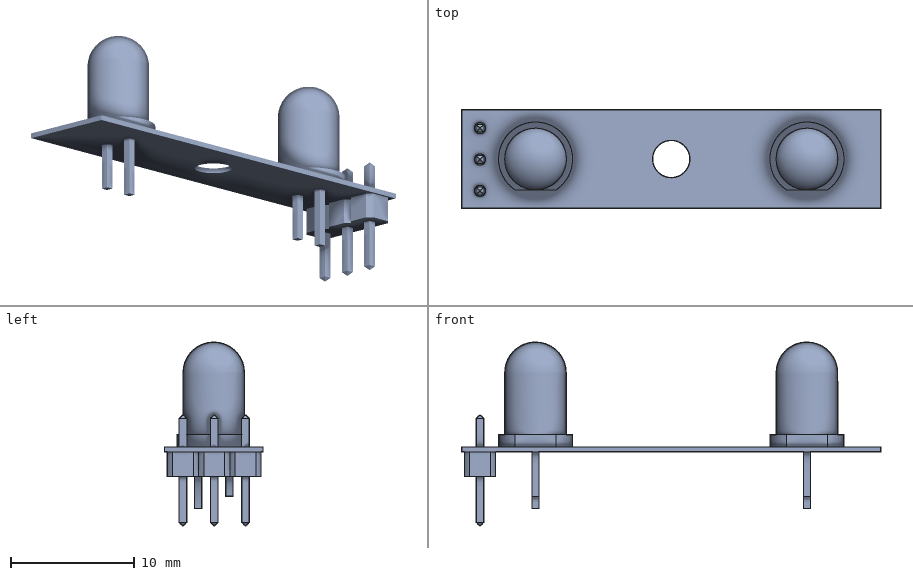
import cadquery as cq

BOARD_LENGTH = 34.0
BOARD_WIDTH = 8.0
BOARD_THICKNESS = 0.4
MOUNTING_HOLE_DIAMETER = 3.0
WIRE_HOLE_DIAMETER = 0.9

PIN_COUNT = 3
PITCH = 2.54
PIN_SIZE = 0.635
PIN_TIP_CHAMFER = 0.3
PIN_TOP = 2.6
PIN_BOTTOM = -6.41
BLOCK_SIZE = PITCH
BLOCK_HEIGHT = 2.0
BLOCK_CHAMFER = PITCH / 6
PIN_EDGE_DISTANCE = 1.5
FIRST_PIN_X = PIN_EDGE_DISTANCE - BOARD_LENGTH / 2
FIRST_PIN_Y = BOARD_WIDTH / 2 - PIN_EDGE_DISTANCE

LED_SPACING = 22.0
LED_DIAMETER = 5.0
LED_RADIUS = LED_DIAMETER / 2
LED_FLANGE_DIAMETER = 6.0
LED_FLANGE_HEIGHT = 1.0
LED_BARREL_HEIGHT = 5.0
LED_FLAT_DISTANCE = LED_RADIUS
LEAD_SPACING = 2.54
LEAD_SIZE = 0.6
LONG_LEAD = 5.0
SHORT_LEAD = 4.0
LEADS = [(LEAD_SPACING / 2, LONG_LEAD), (-LEAD_SPACING / 2, SHORT_LEAD)]

pin_points = [(FIRST_PIN_X, FIRST_PIN_Y - i * PITCH) for i in range(PIN_COUNT)]
led_centers = [-LED_SPACING / 2, LED_SPACING / 2]
lead_points = [(x, y) for x in led_centers for y, _ in LEADS]


def make_board():
    """Thin plate with the mounting hole and the holes for pins and leads."""
    plate = cq.Workplane("XY").box(
        BOARD_LENGTH, BOARD_WIDTH, BOARD_THICKNESS, centered=(True, True, False)
    )
    plate = plate.translate((0, 0, -BOARD_THICKNESS))
    top = plate.faces(">Z").workplane(origin=(0, 0, 0))
    plate = top.hole(MOUNTING_HOLE_DIAMETER)
    return plate.pushPoints(pin_points + lead_points).hole(WIRE_HOLE_DIAMETER)


def make_header_unit(x, y):
    """One position of the header: an eight-sided block with a pin through it."""
    block = (
        cq.Workplane("XY", origin=(0, 0, -BOARD_THICKNESS))
        .rect(BLOCK_SIZE, BLOCK_SIZE)
        .extrude(-BLOCK_HEIGHT)
        .edges("|Z")
        .chamfer(BLOCK_CHAMFER)
    )
    pin = (
        cq.Workplane("XY", origin=(0, 0, PIN_BOTTOM))
        .rect(PIN_SIZE, PIN_SIZE)
        .extrude(PIN_TOP - PIN_BOTTOM)
        .faces("<Z or >Z")
        .chamfer(PIN_TIP_CHAMFER)
    )
    return block.union(pin).translate((x, y, 0))


def make_led(x):
    """Domed LED with a flat on the -Y side of its flange and two square leads."""
    flange = cq.Workplane("XY").circle(LED_FLANGE_DIAMETER / 2).extrude(LED_FLANGE_HEIGHT)
    keep = cq.Workplane("XY", origin=(0, -LED_FLAT_DISTANCE, 0)).box(
        LED_FLANGE_DIAMETER, LED_FLANGE_DIAMETER, LED_FLANGE_HEIGHT, centered=(True, False, False)
    )
    flange = flange.intersect(keep)
    barrel_top = LED_FLANGE_HEIGHT + LED_BARREL_HEIGHT
    lens = (
        cq.Workplane("XZ")
        .moveTo(0, LED_FLANGE_HEIGHT)
        .lineTo(-LED_RADIUS, LED_FLANGE_HEIGHT)
        .lineTo(-LED_RADIUS, barrel_top)
        .radiusArc((0, barrel_top + LED_RADIUS), LED_RADIUS)
        .close()
        .revolve(360, (0, 0), (0, 1))
    )
    led = flange.union(lens)
    for y, length in LEADS:
        lead = cq.Workplane("XY").center(0, y).rect(LEAD_SIZE, LEAD_SIZE).extrude(-length)
        led = led.union(lead)
    return led.translate((x, 0, 0))


board = make_board()
header_units = [make_header_unit(x, y) for x, y in pin_points]
leds = [make_led(x) for x in led_centers]

result = cq.Compound.makeCompound(
    [board.val()] + [unit.val() for unit in header_units] + [led.val() for led in leds]
)